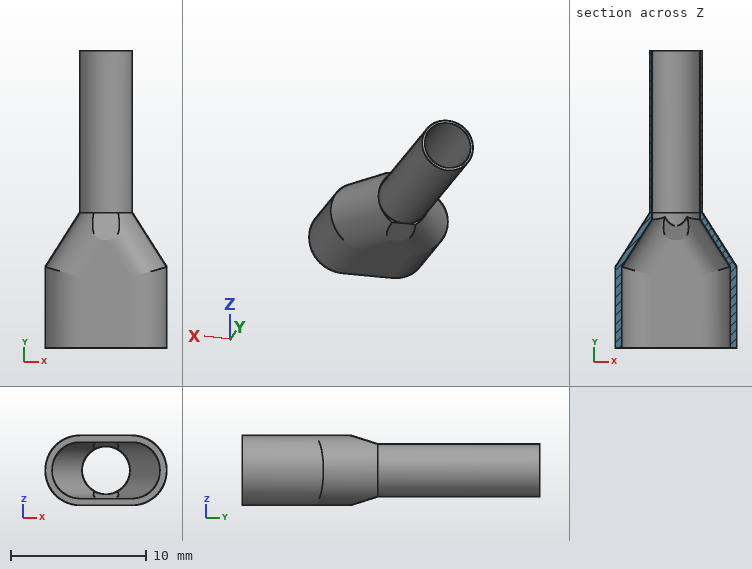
import cadquery as cq
import math

total_length = 22.0
mouth_width = 9.0
mouth_height = 5.2
wall = 0.5

side_taper_start = 6.0
ramp_start = 8.0
collar_length = 10.0

sleeve_diameter = 3.92
bore_diameter = 3.52


def round_edged_slab(edge_x, height, angle, pivot_y):
    """Long slab with a fully rounded +X edge, turned about the point (edge_x, pivot_y)."""
    radius = height / 2
    reach = 2 * total_length
    profile = (
        cq.Workplane("XZ", origin=(edge_x, pivot_y + reach, 0))
        .moveTo(-reach, -radius)
        .lineTo(-radius, -radius)
        .threePointArc((0, 0), (-radius, radius))
        .lineTo(-reach, radius)
        .close()
    )
    slab = profile.extrude(2 * reach)
    return slab.rotate((edge_x, pivot_y, 0), (edge_x, pivot_y, 1), angle)


def funnel(width, height, end_diameter):
    """Oblong tube form whose sides and flats taper to end_diameter at the collar's end."""
    half_width = width / 2
    half_height = height / 2
    end_radius = end_diameter / 2
    taper_angle = math.degrees(
        math.atan2(half_width - end_radius, collar_length - side_taper_start)
    )

    body = (
        cq.Workplane("YZ")
        .polyline([
            (0, -half_height),
            (ramp_start, -half_height),
            (collar_length, -end_radius),
            (collar_length, end_radius),
            (ramp_start, half_height),
            (0, half_height),
        ])
        .close()
        .extrude(half_width, both=True)
    )

    for angle in (0, taper_angle):
        edge = round_edged_slab(half_width, height, angle, side_taper_start)
        body = body.intersect(edge).intersect(edge.mirror("YZ"))
    return body


def make_collar():
    outside = funnel(mouth_width, mouth_height, sleeve_diameter)
    cavity = funnel(
        mouth_width - 2 * wall,
        mouth_height - 2 * wall,
        sleeve_diameter - 2 * wall,
    )
    bore = cq.Workplane("XZ").circle(bore_diameter / 2).extrude(-collar_length)
    return outside.cut(cavity).cut(bore)


def make_sleeve():
    return (
        cq.Workplane("XZ", origin=(0, collar_length, 0))
        .circle(sleeve_diameter / 2)
        .circle(bore_diameter / 2)
        .extrude(collar_length - total_length)
    )


collar = make_collar()
sleeve = make_sleeve()

result = cq.Compound.makeCompound([collar.solids().val(), sleeve.val()])